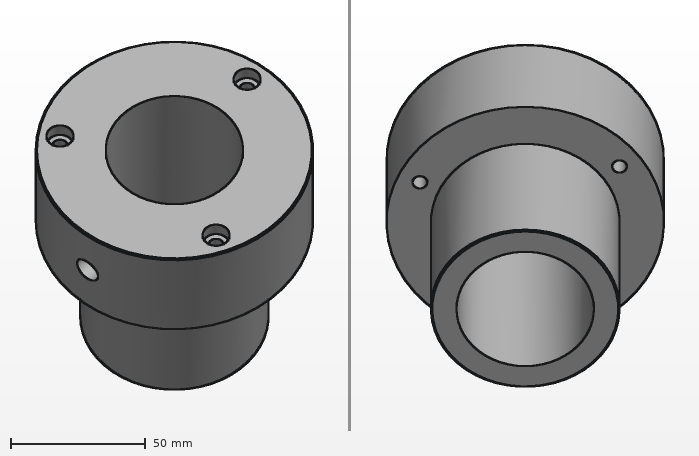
import cadquery as cq

flange_diameter = 103.0
total_height = 100.0
stem_height = 58.0
stem_diameter = 70.0
bore_diameter = 51.0
edge_chamfer = 0.5

screw_count = 3
screw_circle_radius = 43.0
screw_hole_diameter = 5.5
counterbore_diameter = 10.0
counterbore_depth = 5.7

side_hole_diameter = 8.4
side_hole_mouth_diameter = 10.0
side_hole_mouth_depth = (flange_diameter - bore_diameter) / 4

flange_height = total_height - stem_height
side_hole_height = stem_height + flange_height / 2


def turned_body():
    """Stem with a wider flange on top, with lightly broken outer edges at both ends."""
    stem = cq.Workplane("XY").circle(stem_diameter / 2).extrude(stem_height)
    stem = stem.faces("<Z").chamfer(edge_chamfer)
    flange = (
        cq.Workplane("XY", origin=(0, 0, stem_height))
        .circle(flange_diameter / 2)
        .extrude(flange_height)
        .faces(">Z")
        .chamfer(edge_chamfer)
    )
    return stem.union(flange)


def cut_bore(body):
    """Central bore through the full height."""
    return body.faces(">Z").workplane(origin=(0, 0, 0)).hole(bore_diameter)


def cut_screw_holes(body):
    """Counterbored holes through the flange, the first one on +Y."""
    return (
        body.faces(">Z")
        .workplane(origin=(0, 0, 0))
        .polarArray(screw_circle_radius, 90, 360, screw_count)
        .cboreHole(screw_hole_diameter, counterbore_diameter, counterbore_depth)
    )


def cut_side_hole(body):
    """Radial hole from -Y into the bore, widened at its mouth."""
    entry = cq.Workplane("XZ", origin=(0, -flange_diameter / 2, side_hole_height))
    drill = entry.circle(side_hole_diameter / 2).extrude(-flange_diameter / 2)
    mouth = entry.circle(side_hole_mouth_diameter / 2).extrude(-side_hole_mouth_depth)
    return body.cut(drill).cut(mouth)


result = cut_side_hole(cut_screw_holes(cut_bore(turned_body())))